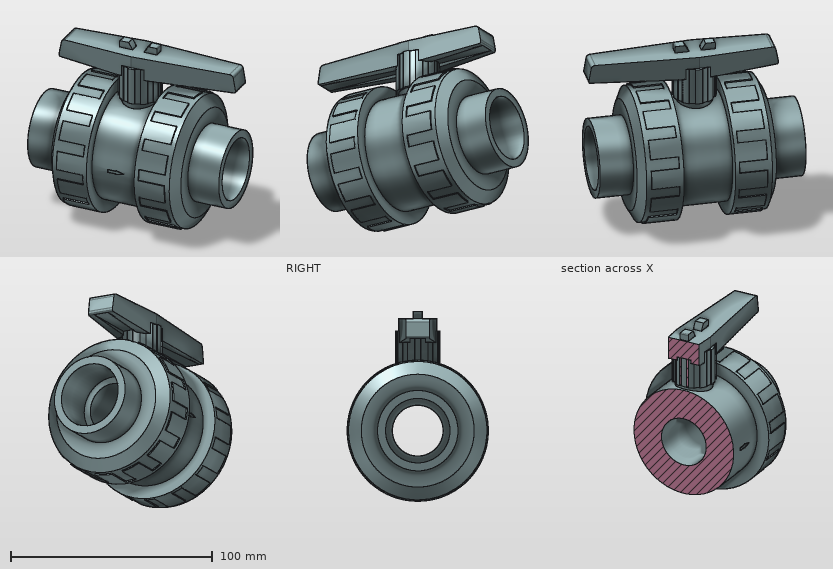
import cadquery as cq
import math


OVERALL_LENGTH = 107.2
OVERALL_HEIGHT = 94.2
NUT_DIAMETER = 70.0
NUT_RADIUS = NUT_DIAMETER / 2
TOP_Z = OVERALL_HEIGHT - NUT_RADIUS

PIPE_HALF_LENGTH = 52.3
PIPE_RADIUS = 20.0
SOCKET_RADIUS = 16.0
SOCKET_DEPTH = 23.6
BORE_RADIUS = 12.5
BODY_RADIUS = 28.4

NUT_INNER_FACE = 13.1
NOTCH_START = 15.2
NOTCH_END = 29.5
NUT_CONE_START = 32.0
NUT_OUTER_FACE = 35.4
NUT_ROOT_RADIUS = 34.3
NUT_CONE_END_RADIUS = 28.0
NOTCH_COUNT = 14
NOTCH_ANGLE = 9.6
NOTCH_PHASE = 5.0

ARROW_HALF_LENGTH = 4.4
ARROW_SHAFT_HALF_WIDTH = 0.8
ARROW_HEAD_HALF_WIDTH = 1.1
ARROW_HEIGHT = 0.3

STEM_RADIUS = 9.4
HUB_RADIUS = 10.9
HUB_BOTTOM = 30.2
HUB_TOP = 49.4
FLUTE_COUNT = 10
FLUTE_ANGLE = 16.0
FLUTE_DEPTH = 0.5

LEVER_RIGHT = OVERALL_LENGTH - PIPE_HALF_LENGTH
LEVER_LEFT = -41.2
LEVER_TOP = 55.6
LEVER_END_BOTTOM = 45.7
LEVER_MIDDLE_BOTTOM = 43.7
LEVER_FLAT_HALF_LENGTH = 7.7
LEVER_LEFT_TIP_HEIGHT = 2.0
LEVER_RIGHT_TIP_HEIGHT = 1.0
LEVER_END_SLANT = 1.5
LEVER_TOP_FILLET = 2.0
LEVER_BOTTOM_FILLET = 0.9
LEVER_WIDEST_X = -0.6
LEVER_HALF_WIDTH = 9.4
LEVER_SIDE_TAPER = 0.065
GROOVE_HALF_WIDTH = 3.9

POST_OUTER = 10.2
POST_TOP_INNER = 5.3
POST_BASE_INNER = 3.1
POST_WIDTH = 4.6
POST_FILLET = 0.4


def cylinder_x(radius, start, end):
    return cq.Workplane("YZ").workplane(offset=start).circle(radius).extrude(end - start)


def cylinder_z(radius, start, end):
    return cq.Workplane("XY").workplane(offset=start).circle(radius).extrude(end - start)


def ridged_cylinder(root_radius, ridge_radius, count, gap_angle, phase, start, end):
    """Cylinder around Z with `count` lengthwise ridges; the first gap is centred at `phase` degrees."""
    reach = 2 * ridge_radius
    half_gap = math.radians(gap_angle / 2)
    side_x = reach * math.cos(half_gap)
    side_y = reach * math.sin(half_gap)
    wedge = (
        cq.Workplane("XY").workplane(offset=start)
        .polyline([(0, 0), (side_x, -side_y), (side_x, side_y)]).close()
        .extrude(end - start)
    )
    ridges = cylinder_z(ridge_radius, start, end)
    for index in range(count):
        ridges = ridges.cut(wedge.rotate((0, 0, 0), (0, 0, 1), phase + index * 360 / count))
    return cylinder_z(root_radius, start, end).union(ridges)


def make_left_nut():
    """Union nut modelled upright on Z, then laid down towards -X."""
    collar = cylinder_z(NUT_RADIUS, NUT_INNER_FACE, NOTCH_START)
    grip = ridged_cylinder(
        NUT_ROOT_RADIUS, NUT_RADIUS, NOTCH_COUNT, NOTCH_ANGLE, NOTCH_PHASE, NOTCH_START, NOTCH_END
    )
    rim_profile = [
        (0, NOTCH_END),
        (NUT_ROOT_RADIUS, NOTCH_END),
        (NUT_ROOT_RADIUS, NUT_CONE_START),
        (NUT_CONE_END_RADIUS, NUT_OUTER_FACE),
        (0, NUT_OUTER_FACE),
    ]
    rim = cq.Workplane("XZ").polyline(rim_profile).close().revolve(360, (0, 0, 0), (0, 1, 0))
    nut = collar.union(grip).union(rim).clean()
    return nut.rotate((0, 0, 0), (0, 1, 0), -90)


def make_arrow():
    """Arrow pointing to +X, wrapped onto the -Y side of the body."""
    outline = [
        (-ARROW_HALF_LENGTH, -ARROW_SHAFT_HALF_WIDTH),
        (0, -ARROW_SHAFT_HALF_WIDTH),
        (0, -ARROW_HEAD_HALF_WIDTH),
        (ARROW_HALF_LENGTH, 0),
        (0, ARROW_HEAD_HALF_WIDTH),
        (0, ARROW_SHAFT_HALF_WIDTH),
        (-ARROW_HALF_LENGTH, ARROW_SHAFT_HALF_WIDTH),
    ]
    prism = cq.Workplane("XZ").polyline(outline).close().extrude(NUT_RADIUS)
    return prism.intersect(cylinder_x(BODY_RADIUS + ARROW_HEIGHT, -NUT_INNER_FACE, NUT_INNER_FACE))


def make_hub():
    return ridged_cylinder(
        HUB_RADIUS - FLUTE_DEPTH, HUB_RADIUS, FLUTE_COUNT, FLUTE_ANGLE, 0, HUB_BOTTOM, HUB_TOP
    )


def make_lever():
    """Lever with sloping underside, slanted tips and sides that narrow towards both tips."""
    side = [
        (LEVER_LEFT + LEVER_END_SLANT, LEVER_TOP),
        (LEVER_LEFT, LEVER_END_BOTTOM + LEVER_LEFT_TIP_HEIGHT),
        (LEVER_LEFT, LEVER_END_BOTTOM),
        (-LEVER_FLAT_HALF_LENGTH, LEVER_MIDDLE_BOTTOM),
        (LEVER_FLAT_HALF_LENGTH, LEVER_MIDDLE_BOTTOM),
        (LEVER_RIGHT, LEVER_END_BOTTOM),
        (LEVER_RIGHT, LEVER_END_BOTTOM + LEVER_RIGHT_TIP_HEIGHT),
        (LEVER_RIGHT - LEVER_END_SLANT, LEVER_TOP),
    ]
    lever = cq.Workplane("XZ").polyline(side).close().extrude(LEVER_HALF_WIDTH, both=True)
    lever = lever.edges("|Y").edges(">Z").fillet(LEVER_TOP_FILLET)
    tip_faces = lever.faces("<X or >X")
    lever = tip_faces.edges("<Z").fillet(LEVER_BOTTOM_FILLET)

    left_half_width = LEVER_HALF_WIDTH + LEVER_SIDE_TAPER * (LEVER_LEFT - LEVER_WIDEST_X)
    right_half_width = LEVER_HALF_WIDTH - LEVER_SIDE_TAPER * (LEVER_RIGHT - LEVER_WIDEST_X)
    plan = [
        (LEVER_LEFT, left_half_width),
        (LEVER_WIDEST_X, LEVER_HALF_WIDTH),
        (LEVER_RIGHT, right_half_width),
        (LEVER_RIGHT, -right_half_width),
        (LEVER_WIDEST_X, -LEVER_HALF_WIDTH),
        (LEVER_LEFT, -left_half_width),
    ]
    lever = lever.intersect(cq.Workplane("XY").polyline(plan).close().extrude(TOP_Z))
    groove = cq.Workplane("XY").box(
        2 * OVERALL_LENGTH, 2 * GROOVE_HALF_WIDTH, LEVER_END_BOTTOM, centered=(True, True, False)
    )
    return lever.cut(groove)


def make_right_post():
    outline = [
        (POST_BASE_INNER, LEVER_TOP),
        (POST_OUTER, LEVER_TOP),
        (POST_OUTER, TOP_Z),
        (POST_TOP_INNER, TOP_Z),
    ]
    post = cq.Workplane("XZ").polyline(outline).close().extrude(POST_WIDTH / 2, both=True)
    return post.edges("|Y").edges(">X").edges(">Z").fillet(POST_FILLET)


left_nut = make_left_nut()
right_nut = left_nut.rotate((0, 0, 0), (0, 0, 1), 180)
valve = cylinder_x(PIPE_RADIUS, -PIPE_HALF_LENGTH, PIPE_HALF_LENGTH)
valve = valve.union(cylinder_x(BODY_RADIUS, -NUT_INNER_FACE, NUT_INNER_FACE))
valve = valve.union(left_nut).union(right_nut).union(make_arrow())

valve = valve.union(cylinder_z(STEM_RADIUS, 0, HUB_BOTTOM)).union(make_hub()).union(make_lever())
right_post = make_right_post()
valve = valve.union(right_post).union(right_post.mirror("YZ"))

valve = valve.cut(cylinder_x(BORE_RADIUS, -PIPE_HALF_LENGTH, PIPE_HALF_LENGTH))
socket = cylinder_x(SOCKET_RADIUS, PIPE_HALF_LENGTH - SOCKET_DEPTH, PIPE_HALF_LENGTH)
result = valve.cut(socket).cut(socket.mirror("YZ"))